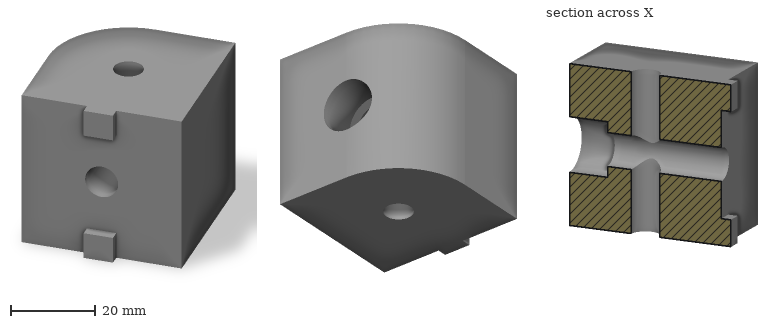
import cadquery as cq

side = 40.0
corner_radius = side / 2

total_depth = 42.5
tab_height = total_depth - side
tab_width = 7.3
tab_length = 6.7

vertical_hole_diameter = 7.3
bolt_hole_diameter = 8.25
counterbore_diameter = 13.6
counterbore_depth = 10.0


def block():
    body = cq.Workplane("XY").box(side, side, side).translate((0, side / 2, 0))
    return body.edges("|Z and <X and >Y").fillet(corner_radius)


def tab(direction):
    """Tab flush with the top (direction 1) or bottom (direction -1) face."""
    overlap = 0.42
    z_centre = direction * (side - tab_length) / 2
    return (
        cq.Workplane("XY")
        .box(tab_width, tab_height + overlap, tab_length)
        .translate((0, (overlap - tab_height) / 2, z_centre))
    )


def y_cylinder(diameter, start, length):
    return cq.Workplane("XZ", origin=(0, start, 0)).circle(diameter / 2).extrude(-length)


def vertical_hole():
    return (
        cq.Workplane("XY", origin=(0, side / 2, -side / 2))
        .circle(vertical_hole_diameter / 2)
        .extrude(side)
    )


result = block()
for direction in (-1, 1):
    result = result.union(tab(direction))
result = result.cut(vertical_hole())
result = result.cut(y_cylinder(bolt_hole_diameter, 0, side))
result = result.cut(y_cylinder(counterbore_diameter, side - counterbore_depth, counterbore_depth))